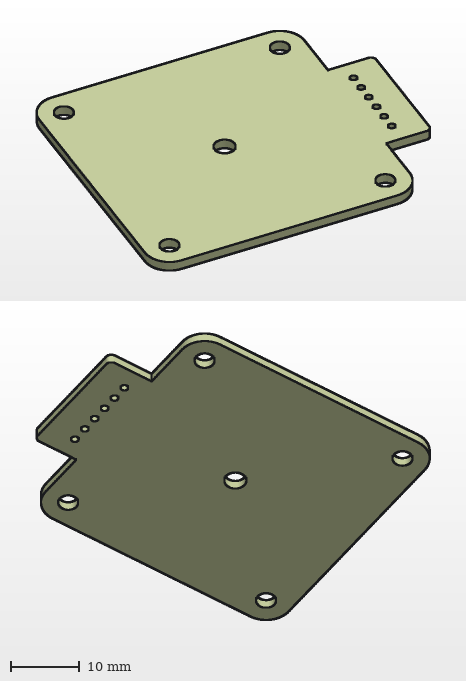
import cadquery as cq

plate_side = 43.0
thickness = 1.6
mount_spacing = 35.0
corner_radius = (plate_side - mount_spacing) / 2

total_length = 50.4
tab_width = 19.35
tab_corner_radius = 0.85
tab_length = total_length - plate_side

mount_diameter = 2.9
center_diameter = 3.2
pin_diameter = 1.1
pin_count = 6
pin_row_span = 12.7
pin_edge_distance = 4.9

plate_edge_y = plate_side / 2
tab_edge_y = plate_edge_y + tab_length


def make_plate():
    plate = cq.Workplane("XY").rect(plate_side, plate_side).extrude(thickness)
    return plate.edges("|Z").fillet(corner_radius)


def make_tab():
    tab = cq.Workplane("XY").center(0, tab_edge_y / 2).rect(tab_width, tab_edge_y).extrude(thickness)
    return tab.edges("|Z and >Y").fillet(tab_corner_radius)


def make_holes(diameter, centers):
    return cq.Workplane("XY").pushPoints(centers).circle(diameter / 2).extrude(thickness)


mount_offset = mount_spacing / 2
mount_centers = [(x, y) for x in (-mount_offset, mount_offset) for y in (-mount_offset, mount_offset)]

pin_pitch = pin_row_span / (pin_count - 1)
pin_row_y = tab_edge_y - pin_edge_distance
pin_centers = [(i * pin_pitch - pin_row_span / 2, pin_row_y) for i in range(pin_count)]

result = (
    make_plate()
    .union(make_tab())
    .cut(make_holes(mount_diameter, mount_centers))
    .cut(make_holes(center_diameter, [(0, 0)]))
    .cut(make_holes(pin_diameter, pin_centers))
)